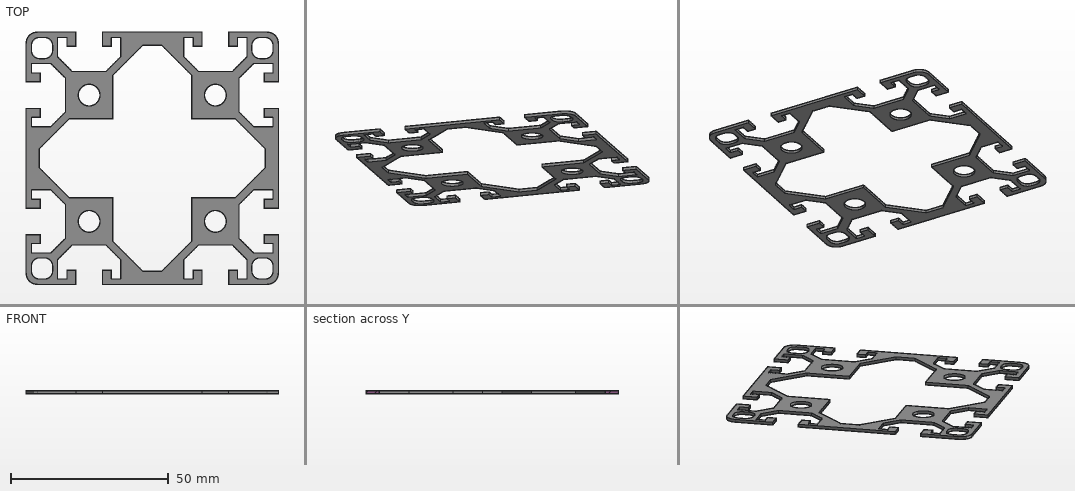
import cadquery as cq

side = 80.0
thickness = 1.0
corner_radius = 3.6
wall = 1.8

core_offset = side / 4
core_width = 15.1
bore_diameter = 6.8

slot_mouth_width = 8.3
slot_lip_depth = 4.6
slot_lip_width = 2.9
slot_width = 20.0
slot_shoulder_depth = 7.8

corner_hole_width = 6.6
corner_hole_radius = 2.5

cavity_wall = 4.2
cavity_end_half_width = 3.0

half_side = side / 2
signs = (-1, 1)
core_centers = [(core_offset * sx, core_offset * sy) for sx in signs for sy in signs]


def prism(outline):
    """Extrude a closed outline through the plate thickness."""
    return cq.Workplane("XY").polyline(outline).close().extrude(thickness)


def plate():
    block = cq.Workplane("XY").rect(side, side).extrude(thickness)
    return block.edges("|Z").fillet(corner_radius)


def slot(center_x):
    """T-slot opening through the +Y side, with a 45-degree tapered bottom."""
    floor_depth = half_side - core_offset - core_width / 2
    mouth = slot_mouth_width / 2
    lip = mouth + slot_lip_width
    shoulder = slot_width / 2
    floor = shoulder - (floor_depth - slot_shoulder_depth)
    right_half = [
        (mouth, 0),
        (mouth, slot_lip_depth),
        (lip, slot_lip_depth),
        (lip, wall),
        (shoulder, wall),
        (shoulder, slot_shoulder_depth),
        (floor, floor_depth),
    ]
    left_half = [(-x, depth) for x, depth in reversed(right_half)]
    return prism([(center_x + x, half_side - depth) for x, depth in right_half + left_half])


def cavity_arm():
    """Arm of the central cavity from the plate centre toward +Y."""
    root = core_offset - core_width / 2
    end = half_side - cavity_wall
    taper_start = end - (root - cavity_end_half_width)
    return prism([
        (-root, 0),
        (root, 0),
        (root, taper_start),
        (cavity_end_half_width, end),
        (-cavity_end_half_width, end),
        (-root, taper_start),
    ])


def bores():
    return cq.Workplane("XY").pushPoints(core_centers).circle(bore_diameter / 2).extrude(thickness)


def corner_holes():
    offset = half_side - wall - corner_hole_width / 2
    centers = [(offset * sx, offset * sy) for sx in signs for sy in signs]
    holes = cq.Workplane("XY").pushPoints(centers).rect(corner_hole_width, corner_hole_width)
    return holes.extrude(thickness).edges("|Z").fillet(corner_hole_radius)


result = plate().cut(bores()).cut(corner_holes())

for angle in (0, 90, 180, 270):
    for cutter in (slot(-core_offset), slot(core_offset), cavity_arm()):
        result = result.cut(cutter.rotate((0, 0, 0), (0, 0, 1), angle))